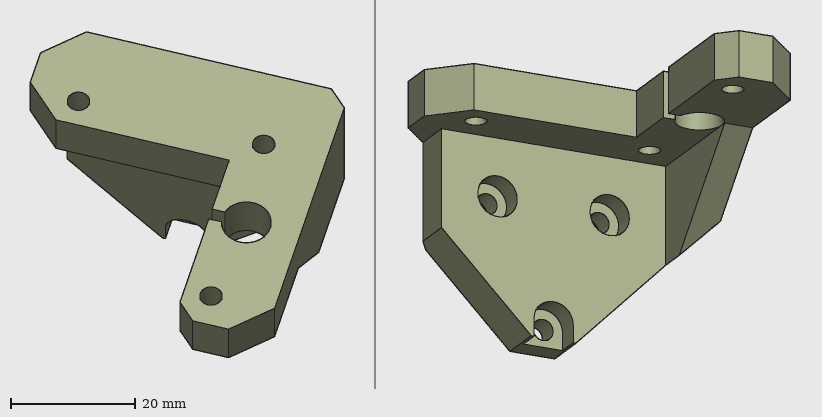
import cadquery as cq

width = 50.0
depth = 50.0
height = 41.0

plate_thickness = 8.0
back_arm_depth = 18.0
side_arm_width = 15.0
large_chamfer = 6.0
small_chamfer = 3.0
plate_bottom = -plate_thickness
side_arm_left = width - side_arm_width

motor_pitch = 31.0
screw_diameter = 3.6
motor_left = 8.5
motor_back = -13.5

rod_diameter = 8.0
rod_x = 41.0
rod_y = -29.0
slot_width = 2.0

wall_thickness = 8.0
wall_left = 5.0
tip_center_x = 25.0
tip_width = 8.0
tip_left = tip_center_x - tip_width / 2
tip_right = tip_center_x + tip_width / 2

wall_screw_pitch = 20.0
upper_screw_z = -18.0
tip_screw_z = -38.0
counterbore_diameter = 7.0
counterbore_depth = 4.0

gusset_thickness = 5.0
gusset_reach = 30.0


def plate_outline():
    """L shape with beveled outer corners, ready to extrude downward."""
    return (
        cq.Workplane("XY")
        .moveTo(large_chamfer, 0)
        .lineTo(width - small_chamfer, 0)
        .lineTo(width, -small_chamfer)
        .lineTo(width, -depth + large_chamfer)
        .lineTo(width - large_chamfer, -depth)
        .lineTo(side_arm_left + small_chamfer, -depth)
        .lineTo(side_arm_left, -depth + small_chamfer)
        .lineTo(side_arm_left, -back_arm_depth)
        .lineTo(large_chamfer, -back_arm_depth)
        .lineTo(0, -back_arm_depth + large_chamfer)
        .lineTo(0, -large_chamfer)
        .close()
    )


def plate_cutouts():
    """Vertical screw holes, rod bore and clamping slot through the plate."""
    screws = (
        cq.Workplane("XY")
        .pushPoints([
            (motor_left, motor_back),
            (motor_left + motor_pitch, motor_back),
            (motor_left + motor_pitch, motor_back - motor_pitch),
        ])
        .circle(screw_diameter / 2)
        .extrude(-plate_thickness)
    )
    bore = cq.Workplane("XY").center(rod_x, rod_y).circle(rod_diameter / 2).extrude(-plate_thickness)
    slot = (
        cq.Workplane("XY")
        .center((side_arm_left + rod_x) / 2, rod_y)
        .rect(rod_x - side_arm_left, slot_width)
        .extrude(-plate_thickness)
    )
    return screws.union(bore).union(slot)


def wall_profile(thickness):
    """Wall shape seen along Y, extruded from the back face toward -Y."""
    left_corner_z = -height + tip_left - wall_left
    right_corner_z = -height + width - tip_right
    return (
        cq.Workplane("XZ")
        .moveTo(wall_left, 0)
        .lineTo(width, 0)
        .lineTo(width, right_corner_z)
        .lineTo(tip_right, -height)
        .lineTo(tip_left, -height)
        .lineTo(wall_left, left_corner_z)
        .close()
        .extrude(thickness)
    )


def gusset():
    """Triangular web along the right side, trimmed below by the wall's sloping edge."""
    web = (
        cq.Workplane("YZ", origin=(width - gusset_thickness, 0, 0))
        .moveTo(0, plate_bottom)
        .lineTo(-gusset_reach, plate_bottom)
        .lineTo(0, plate_bottom - gusset_reach)
        .close()
        .extrude(gusset_thickness)
    )
    return web.intersect(wall_profile(depth))


def wall_screw_cutouts():
    """Counterbored holes along Y; the counterbore at the tip opens downward."""
    screw_points = [
        (tip_center_x - wall_screw_pitch / 2, upper_screw_z),
        (tip_center_x + wall_screw_pitch / 2, upper_screw_z),
        (tip_center_x, tip_screw_z),
    ]
    holes = cq.Workplane("XZ").pushPoints(screw_points).circle(screw_diameter / 2).extrude(wall_thickness)
    counterbore_floor = cq.Workplane("XZ", origin=(0, counterbore_depth - wall_thickness, 0))
    counterbores = (
        counterbore_floor.pushPoints(screw_points)
        .circle(counterbore_diameter / 2)
        .extrude(counterbore_depth)
    )
    tip_drop = height + tip_screw_z
    tip_opening = (
        counterbore_floor.center(tip_center_x, tip_screw_z - tip_drop / 2)
        .rect(counterbore_diameter, tip_drop)
        .extrude(counterbore_depth)
    )
    return holes.union(counterbores).union(tip_opening)


plate = plate_outline().extrude(-plate_thickness)
bracket = wall_profile(wall_thickness).union(gusset()).intersect(plate_outline().extrude(-height))
result = plate.union(bracket).cut(plate_cutouts()).cut(wall_screw_cutouts())